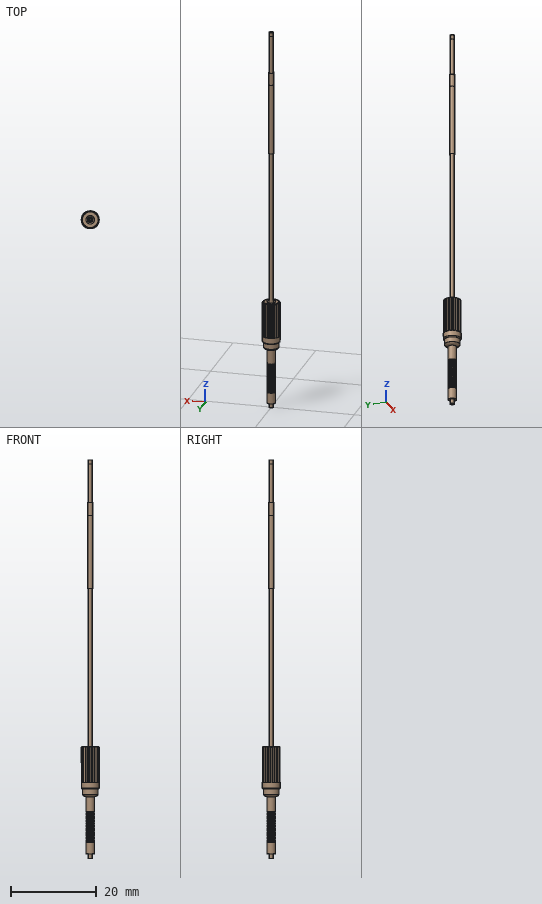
import cadquery as cq

TOTAL_LENGTH = 93.0
TIP_LENGTH = 1.1
THREAD_START = 3.8
THREAD_END = 11.2
SHOULDER_BOTTOM = 14.43
SHOULDER_TOP = 15.0
GRIP_BOTTOM = 16.2
FLUTE_BOTTOM = 17.8
GRIP_TOP = 26.2
SLEEVE_BOTTOM = 63.0
SLEEVE_TOP = 83.0
SPLICE_INSET = 3.0
SPLICE_HEIGHT = SLEEVE_TOP - SPLICE_INSET

CORE_DIAMETER = 1.0
END_HOLE_DIAMETER = 0.5
END_HOLE_DEPTH = 1.0
SLEEVE_DIAMETER = 1.3
SHAFT_DIAMETER = 2.0
COLLAR_DIAMETER = 3.7
SHOULDER_BULGE = 0.13
GRIP_DIAMETER = 4.2
GRIP_TOP_CHAMFER = 0.25
GRIP_BOTTOM_CHAMFER = (GRIP_DIAMETER - COLLAR_DIAMETER) / 2
COUNTERSINK_DIAMETER = 2.0

THREAD_PITCH = 0.4
THREAD_DEPTH = 0.15
THREAD_TURNS = int((THREAD_END - THREAD_START) / THREAD_PITCH + 0.5)

FLUTE_COUNT = 18
FLUTE_DEPTH = 0.3
FLUTE_MOUTH = 0.5
FLUTE_STEP = 360 / FLUTE_COUNT


def cylinder(diameter, bottom, top):
    """Upright cylinder on the Z axis between two heights."""
    return cq.Workplane("XY").workplane(offset=bottom).circle(diameter / 2).extrude(top - bottom)


def bored(body):
    """The body with the through bore that the core fills."""
    return body.cut(cylinder(CORE_DIAMETER, 0, TOTAL_LENGTH))


def make_lower_core():
    """Plain rod from the tip, through shaft and grip, up to the splice in the sleeve."""
    return cylinder(CORE_DIAMETER, 0, SPLICE_HEIGHT)


def make_upper_core():
    """Rod from the splice to the free end, which has a small blind hole."""
    rod = cylinder(CORE_DIAMETER, SPLICE_HEIGHT, TOTAL_LENGTH)
    return rod.cut(cylinder(END_HOLE_DIAMETER, TOTAL_LENGTH - END_HOLE_DEPTH, TOTAL_LENGTH))


def make_sleeve():
    """Tube that joins the two cores."""
    return bored(cylinder(SLEEVE_DIAMETER, SLEEVE_BOTTOM, SLEEVE_TOP))


def make_shaft():
    """Threaded shaft with a collar that narrows to it in a rounded shoulder."""
    radius = SHAFT_DIAMETER / 2
    collar_radius = COLLAR_DIAMETER / 2
    thread = []
    for turn in range(THREAD_TURNS):
        start = THREAD_START + turn * THREAD_PITCH
        thread.append((radius - THREAD_DEPTH, start + THREAD_PITCH / 2))
        thread.append((radius, start + THREAD_PITCH))
    profile = (
        cq.Workplane("XZ")
        .moveTo(0, TIP_LENGTH)
        .lineTo(radius, TIP_LENGTH)
        .lineTo(radius, THREAD_START)
        .polyline(thread, includeCurrent=True)
        .lineTo(radius, SHOULDER_BOTTOM)
        .sagittaArc((collar_radius, SHOULDER_TOP), -SHOULDER_BULGE)
        .lineTo(collar_radius, GRIP_BOTTOM)
        .lineTo(0, GRIP_BOTTOM)
        .close()
    )
    return bored(profile.revolve(360, (0, 0, 0), (0, 1, 0)))


def make_flute_cutter():
    """Upright V-shaped prism on the +X side, open at the grip surface and the top."""
    root = GRIP_DIAMETER / 2 - FLUTE_DEPTH
    reach = 2 * FLUTE_DEPTH
    half_width = FLUTE_MOUTH * reach / (2 * FLUTE_DEPTH)
    outline = [(root, 0), (root + reach, half_width), (root + reach, -half_width)]
    section = cq.Workplane("XY").workplane(offset=FLUTE_BOTTOM).polyline(outline).close()
    return section.extrude(GRIP_TOP - FLUTE_BOTTOM)


def make_countersink():
    """45 degree cone at the grip's top that narrows to the bore."""
    bore_radius = CORE_DIAMETER / 2
    mouth_radius = COUNTERSINK_DIAMETER / 2
    depth = mouth_radius - bore_radius
    base = cq.Vector(0, 0, GRIP_TOP - depth)
    return cq.Workplane(cq.Solid.makeCone(bore_radius, mouth_radius, depth, base))


def make_grip():
    """Fluted grip with chamfered rims and a countersunk top."""
    grip = cylinder(GRIP_DIAMETER, GRIP_BOTTOM, GRIP_TOP)
    grip = grip.faces(">Z").chamfer(GRIP_TOP_CHAMFER)
    grip = grip.faces("<Z").chamfer(GRIP_BOTTOM_CHAMFER)
    cutter = make_flute_cutter()
    for i in range(FLUTE_COUNT):
        grip = grip.cut(cutter.rotate((0, 0, 0), (0, 0, 1), (i + 0.5) * FLUTE_STEP))
    return bored(grip.cut(make_countersink()))


lower_core = make_lower_core()
upper_core = make_upper_core()
sleeve = make_sleeve()
shaft = make_shaft()
grip = make_grip()

result = cq.Compound.makeCompound([
    lower_core.val(),
    upper_core.val(),
    sleeve.val(),
    shaft.val(),
    grip.val(),
])